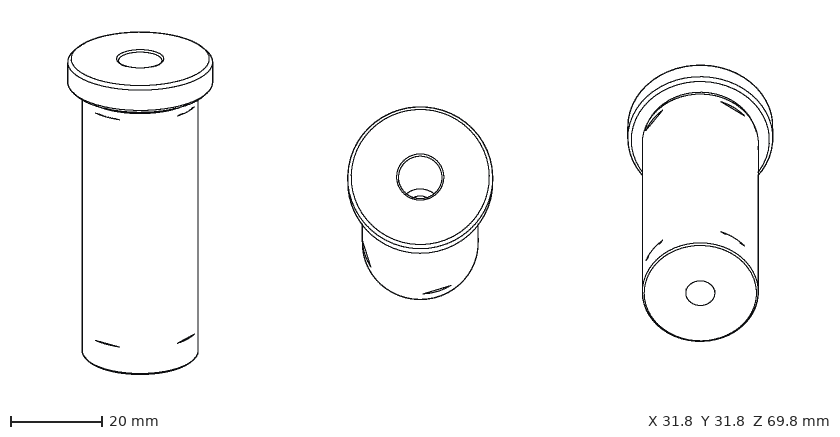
import cadquery as cq

total_length = 69.85
head_diameter = 31.8
head_height = 6.35
head_chamfer = 0.8

shank_diameter = 25.4
neck_diameter = 24.7
neck_height = 1.3
bottom_chamfer = 0.4

through_diameter = 6.35
counterbore_diameter = 9.5
counterbore_depth = 34.9
counterbore_chamfer = 0.4

flat_count = 4
flat_width = 6.35
flat_bottom = 6.35
flat_top = 60.35

head_bottom = total_length - head_height
shank_radius = shank_diameter / 2
head_radius = head_diameter / 2


def make_body():
    """Revolve the headed outline, with its chamfers and undercut neck."""
    return (
        cq.Workplane("XZ")
        .moveTo(0, 0)
        .lineTo(shank_radius - bottom_chamfer, 0)
        .lineTo(shank_radius, bottom_chamfer)
        .lineTo(shank_radius, head_bottom - neck_height)
        .lineTo(neck_diameter / 2, head_bottom - neck_height)
        .lineTo(neck_diameter / 2, head_bottom)
        .lineTo(head_radius - head_chamfer, head_bottom)
        .lineTo(head_radius, head_bottom + head_chamfer)
        .lineTo(head_radius, total_length - head_chamfer)
        .lineTo(head_radius - head_chamfer, total_length)
        .lineTo(0, total_length)
        .close()
        .revolve(360, (0, 0, 0), (0, 1, 0))
    )


def make_bore():
    """Revolve the through hole, counterbore and mouth chamfer as one cutter."""
    counterbore_radius = counterbore_diameter / 2
    counterbore_floor = total_length - counterbore_depth
    return (
        cq.Workplane("XZ")
        .moveTo(0, 0)
        .lineTo(through_diameter / 2, 0)
        .lineTo(through_diameter / 2, counterbore_floor)
        .lineTo(counterbore_radius, counterbore_floor)
        .lineTo(counterbore_radius, total_length - counterbore_chamfer)
        .lineTo(counterbore_radius + counterbore_chamfer, total_length)
        .lineTo(0, total_length)
        .close()
        .revolve(360, (0, 0, 0), (0, 1, 0))
    )


def make_flat_cutter(angle):
    """Block whose inner face cuts a chord of the flat width from the shank."""
    flat_distance = (shank_radius**2 - (flat_width / 2) ** 2) ** 0.5
    return (
        cq.Workplane("XY")
        .box(shank_radius, shank_diameter, flat_top - flat_bottom, centered=(False, True, False))
        .translate((flat_distance, 0, flat_bottom))
        .rotate((0, 0, 0), (0, 0, 1), angle)
    )


result = make_body().cut(make_bore())
for index in range(flat_count):
    result = result.cut(make_flat_cutter(index * 360 / flat_count))